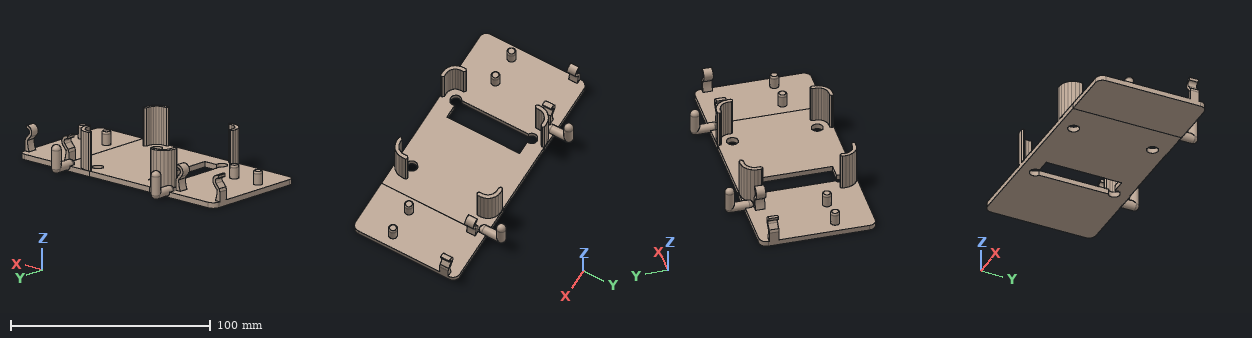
import cadquery as cq
import math

total_length = 131.97
plate_depth = 60.55
plate_thickness = 3.0
corner_radius = 4.0
wing_width = 29.8
half_length = total_length / 2
half_depth = plate_depth / 2
seam_x = half_length - wing_width

holder_x = -2.1
holder_width = 60.55
relief_depth = 0.25
holder_depth = plate_depth - relief_depth
hole_spacing = 44.0
hole_diameter = 5.9
slot_width = 11.9
slot_depth = 42.0
slot_x = holder_x - 17.35

guard_top = 23.0
guard_leg = 10.0
guard_wall = 2.1
guard_radius = 7.4
guard_facets = 6
guard_tip_chamfer = 0.75
relief_length = holder_width - 2 * guard_leg

pin_diameter = 4.6
pin_top = 10.0
pin_edge_distances = (6.75, 22.75)
pin_y = -10.15
pin_rim_height = 1.2
pin_flat_radius = 1.7

hook_y = 23.25
hook_width = 5.0
hook_shoulder_z = 8.1
hook_bevel_width = 0.5
hook_bevel_z = 9.7
hook_foot_width = 3.0
hook_neck_width = 1.9
hook_neck_z = 8.8
curl_x = 1.5
curl_z = 13.3
curl_outer_radius = 3.25
curl_inner_radius = 1.6
curl_bottom_angle = -45
outer_hook_tip_angle = 100
inner_hook_tip_angle = 105

peg_diameter = 5.0
peg_radius = peg_diameter / 2
peg_x = seam_x - peg_radius
peg_overall_reach = 70.59
peg_bend_y = peg_overall_reach - half_depth - peg_radius
peg_end_y = 27.9
peg_axis_z = plate_thickness
peg_top = 15.4


def plate_section(x_from, x_to):
    """Flat stretch of the base plate between two X positions."""
    return cq.Workplane("XY").box(
        x_to - x_from, plate_depth, plate_thickness, centered=False
    ).translate((x_from, -half_depth, 0))


def corner_guard(side_x, side_y):
    """Faceted quarter-round wall with a short straight leg at each end."""
    inset = guard_radius
    inner_radius = guard_radius - guard_wall
    angles = [90 * i / guard_facets for i in range(guard_facets + 1)]

    def arc_points(radius, steps):
        return [
            (
                inset - radius * math.cos(math.radians(a)),
                inset - radius * math.sin(math.radians(a)),
            )
            for a in steps
        ]

    def leg_tip(along_x):
        corners = [
            (guard_leg - guard_tip_chamfer, 0),
            (guard_leg, guard_tip_chamfer),
            (guard_leg, guard_wall - guard_tip_chamfer),
            (guard_leg - guard_tip_chamfer, guard_wall),
        ]
        if along_x:
            return corners
        return [(y, x) for x, y in reversed(corners)]

    outline = arc_points(guard_radius, angles) + leg_tip(True)
    outline += arc_points(inner_radius, reversed(angles)) + leg_tip(False)
    corner_x = holder_x + side_x * holder_width / 2
    corner_y = (side_y * holder_depth - relief_depth) / 2
    placed = [(corner_x - side_x * x, corner_y - side_y * y) for x, y in outline]
    return (
        cq.Workplane("XY")
        .workplane(offset=plate_thickness)
        .polyline(placed)
        .close()
        .extrude(guard_top - plate_thickness)
    )


def locating_pin(x):
    """Round pin with a rounded rim around its flat top."""
    radius = pin_diameter / 2
    rim_z = pin_top - pin_rim_height
    rim_middle = (
        pin_flat_radius + (radius - pin_flat_radius) * math.sin(math.radians(45)),
        rim_z + pin_rim_height * math.sin(math.radians(45)),
    )
    half_profile = (
        cq.Workplane("XZ")
        .lineTo(radius, 0)
        .lineTo(radius, rim_z)
        .threePointArc(rim_middle, (pin_flat_radius, pin_top))
        .lineTo(0, pin_top)
        .close()
    )
    return half_profile.revolve().translate((x, pin_y, 0))


def spring_hook(edge_x, lean, tip_angle):
    """Strip standing on the wing edge at edge_x, bulging towards lean and curling back at its tip."""

    def point(x, z):
        return (edge_x + lean * x, z)

    def curl_point(radius, angle):
        a = math.radians(angle)
        return point(curl_x + radius * math.cos(a), curl_z + radius * math.sin(a))

    middle_angle = (curl_bottom_angle + tip_angle) / 2
    foot_curve_x = (hook_foot_width + 3 * hook_neck_width) / 4
    foot_curve_z = (plate_thickness + hook_neck_z) / 2
    return (
        cq.Workplane("XZ", origin=(0, hook_y + hook_width / 2, 0))
        .moveTo(*point(0, 0))
        .lineTo(*point(0, hook_shoulder_z))
        .lineTo(*point(hook_bevel_width, hook_bevel_z))
        .lineTo(*curl_point(curl_inner_radius, curl_bottom_angle))
        .threePointArc(
            curl_point(curl_inner_radius, middle_angle), curl_point(curl_inner_radius, tip_angle)
        )
        .lineTo(*curl_point(curl_outer_radius, tip_angle))
        .threePointArc(
            curl_point(curl_outer_radius, middle_angle),
            curl_point(curl_outer_radius, curl_bottom_angle),
        )
        .lineTo(*point(hook_neck_width, hook_neck_z))
        .threePointArc(point(foot_curve_x, foot_curve_z), point(hook_foot_width, plate_thickness))
        .lineTo(*point(hook_foot_width, 0))
        .close()
        .extrude(hook_width)
    )


def hanger_peg(x):
    """L-shaped round peg lying on the rear edge, bent upwards, with domed ends."""
    bar = cq.Workplane("XZ", origin=(x, peg_bend_y, peg_axis_z)).circle(peg_radius)
    bar = bar.extrude(peg_bend_y - peg_end_y)
    dome_z = peg_top - peg_radius
    upright = cq.Workplane("XY", origin=(x, peg_bend_y, peg_axis_z)).circle(peg_radius)
    upright = upright.extrude(dome_z - peg_axis_z)
    peg = bar.union(upright)
    ball_centres = [
        (x, peg_end_y, peg_axis_z),
        (x, peg_bend_y, peg_axis_z),
        (x, peg_bend_y, dome_z),
    ]
    for centre in ball_centres:
        peg = peg.union(cq.Workplane("XY").sphere(peg_radius).translate(centre))
    return peg


def add_wing_fittings(body, side):
    """Put the two pins and two hooks on the wing on the given side (-1 or +1)."""
    for edge_distance in pin_edge_distances:
        body = body.union(locating_pin(side * (half_length - edge_distance)))
    body = body.union(spring_hook(side * half_length, -side, outer_hook_tip_angle))
    return body.union(spring_hook(side * seam_x, side, inner_hook_tip_angle))


main_body = plate_section(-half_length, seam_x).edges("|Z and <X").fillet(corner_radius)
rear_relief = cq.Workplane("XY").box(
    relief_length, 2 * relief_depth, plate_thickness, centered=(True, True, False)
).translate((holder_x, half_depth, 0))
main_body = main_body.cut(rear_relief)
slot = cq.Workplane("XY").box(
    slot_width, slot_depth, plate_thickness, centered=(True, True, False)
).translate((slot_x, 0, 0))
main_body = main_body.cut(slot)
screw_holes = (
    cq.Workplane("XY", origin=(holder_x, 0, 0))
    .rect(hole_spacing, hole_spacing, forConstruction=True)
    .vertices()
    .circle(hole_diameter / 2)
    .extrude(plate_thickness)
)
main_body = main_body.cut(screw_holes)
for guard_side_x in (-1, 1):
    for guard_side_y in (-1, 1):
        main_body = main_body.union(corner_guard(guard_side_x, guard_side_y))
for peg_side in (-1, 1):
    main_body = main_body.union(hanger_peg(peg_side * peg_x))
main_body = add_wing_fittings(main_body, -1)

right_wing = plate_section(seam_x, half_length).edges("|Z and >X").fillet(corner_radius)
right_wing = add_wing_fittings(right_wing, 1)

result = cq.Compound.makeCompound([main_body.val(), right_wing.val()])